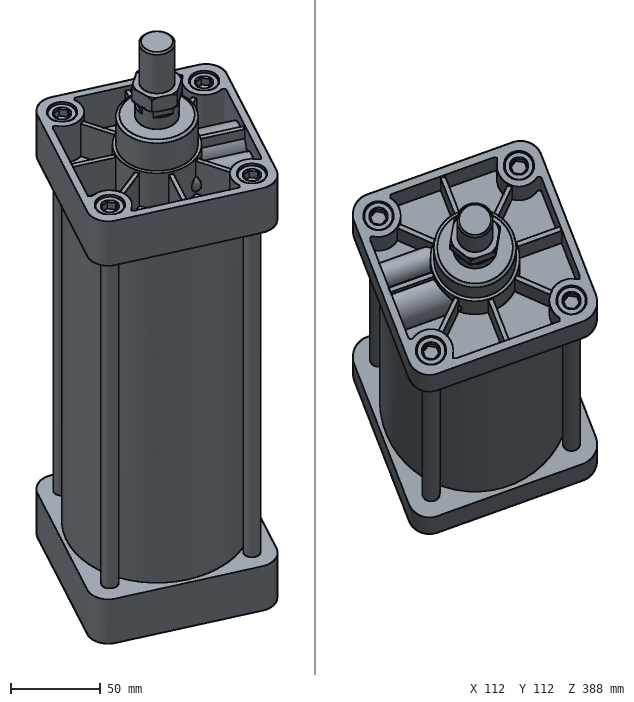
import cadquery as cq
import math

total_height = 388.0
cap_height = 33.0
front_cap_bottom = 280.0
front_cap_top = front_cap_bottom + cap_height
collar_top = 333.5
nut_top = 358.0
nut_bottom = 347.5
wrench_flat_bottom = 342.2

cap_width = 112.0
cap_corner_radius = 12.5
cap_wall = 4.5

barrel_diameter = 107.0
tie_rod_diameter = 10.0
tie_rod_spacing = 84.2
tie_rod_offset = tie_rod_spacing / 2

pocket_depth = 27.0
pocket_fillet = 1.5
screw_boss_diameter = 25.0
hub_diameter = 50.0
hub_recess = 1.0
rib_thickness = 2.7
rib_recess = 3.0

collar_diameter = 46.0
collar_chamfer_height = 1.0
collar_chamfer_width = 2.0

port_boss_diameter = 25.5
port_boss_x = -7.0
cushion_boss_diameter = 16.0
cushion_boss_x = 13.0
side_boss_rise = 7.5

counterbore_diameter = 17.0
counterbore_depth = 7.8
screw_head_diameter = 16.0
screw_head_recess = 1.0
socket_flats = 8.5
socket_depth = 6.0
socket_chamfer_diameter = 10.5

rod_diameter = 25.0
wrench_flats = 21.7
thread_diameter = 20.0
thread_chamfer = 1.0
nut_flats = 26.0
nut_chamfer_diameter = 27.5
nut_chamfer_height = 1.0

hexagon_corner_ratio = 2 / math.sqrt(3)

corner_points = [(sx * tie_rod_offset, sy * tie_rod_offset) for sx in (-1, 1) for sy in (-1, 1)]


def cylinder(diameter, bottom, top):
    """Upright cylinder on the Z axis between two heights."""
    return cq.Workplane("XY").workplane(offset=bottom).circle(diameter / 2).extrude(top - bottom)


def corner_cylinders(diameter, bottom, top):
    """Four upright cylinders, one on each tie rod axis."""
    base = cq.Workplane("XY").workplane(offset=bottom)
    return base.pushPoints(corner_points).circle(diameter / 2).extrude(top - bottom)


def end_cap(bottom):
    """Square block with rounded upright corners."""
    cap = cq.Workplane("XY").workplane(offset=bottom).rect(cap_width, cap_width).extrude(cap_height)
    return cap.edges("|Z").fillet(cap_corner_radius)


def pocket(floor):
    """Hollow of the front cap: a square well narrowed by the corner screw bosses."""
    well_width = cap_width - 2 * cap_wall
    well = cq.Workplane("XY").workplane(offset=floor).rect(well_width, well_width)
    well = well.extrude(front_cap_top - floor)
    well = well.cut(corner_blocks(floor))
    well = well.cut(corner_cylinders(screw_boss_diameter, floor, front_cap_top))
    return well.edges("|Z").fillet(pocket_fillet)


def corner_blocks(floor):
    """Solid fill between each screw boss and the outer corner of the cap."""
    block_width = cap_width / 2 - tie_rod_offset
    block_center = tie_rod_offset + block_width / 2
    points = [(sx * block_center, sy * block_center) for sx in (-1, 1) for sy in (-1, 1)]
    base = cq.Workplane("XY").workplane(offset=floor).pushPoints(points)
    return base.rect(block_width, block_width).extrude(front_cap_top - floor)


def ribs(floor):
    """Eight radial ribs between the hub and the walls."""
    height = front_cap_top - rib_recess - floor
    middle = floor + height / 2
    diagonal_length = 2 * math.sqrt(2) * tie_rod_offset
    web = cq.Workplane("XY").box(cap_width, rib_thickness, height)
    diagonal_web = cq.Workplane("XY").box(diagonal_length, rib_thickness, height)
    star = web.union(web.rotate((0, 0, 0), (0, 0, 1), 90))
    for angle in (45, 135):
        star = star.union(diagonal_web.rotate((0, 0, 0), (0, 0, 1), angle))
    return star.translate((0, 0, middle))


def side_boss(diameter, x, z):
    """Horizontal boss from the hub axis to the +Y wall."""
    base = cq.Workplane("XZ").center(x, z).circle(diameter / 2)
    return base.extrude(-(cap_width / 2 - cap_wall))


def screw_socket(head_top):
    """Hexagonal socket with a conical lead-in, on the Z axis."""
    hexagon = cq.Workplane("XY").workplane(offset=head_top - socket_depth)
    hexagon = hexagon.polygon(6, socket_flats * hexagon_corner_ratio).extrude(socket_depth)
    radius = socket_chamfer_diameter / 2
    lead_in = cq.Solid.makeCone(0, radius, radius, pnt=cq.Vector(0, 0, head_top - radius))
    return hexagon.union(cq.Workplane(lead_in))


def corner_screw_cut():
    """Annular gap around one screw head plus the socket in the head."""
    floor = front_cap_top - counterbore_depth
    head_top = front_cap_top - screw_head_recess
    gap = cylinder(counterbore_diameter, floor, front_cap_top)
    gap = gap.cut(cylinder(screw_head_diameter, floor, head_top))
    return gap.union(screw_socket(head_top))


def front_cap():
    """Ribbed cap with hub, guide collar, side bosses and corner screws."""
    floor = front_cap_top - pocket_depth
    side_boss_z = floor + side_boss_rise
    well = pocket(floor)
    inside = ribs(floor)
    inside = inside.union(side_boss(port_boss_diameter, port_boss_x, side_boss_z))
    inside = inside.union(side_boss(cushion_boss_diameter, cushion_boss_x, side_boss_z))
    cap = end_cap(front_cap_bottom).cut(well).union(inside.intersect(well))
    cap = cap.union(cylinder(hub_diameter, floor, front_cap_top - hub_recess))
    collar = cylinder(collar_diameter, floor, collar_top)
    collar = collar.faces(">Z").chamfer(collar_chamfer_height, collar_chamfer_width)
    cap = cap.union(collar)
    for x, y in corner_points:
        cap = cap.cut(corner_screw_cut().translate((x, y, 0)))
    return cap


def make_housing():
    """Both caps, the barrel and the tie rods, with a bore for the piston rod."""
    housing = end_cap(0).union(cylinder(barrel_diameter, cap_height, front_cap_bottom))
    housing = housing.union(corner_cylinders(tie_rod_diameter, cap_height, front_cap_bottom))
    housing = housing.union(front_cap())
    return housing.cut(cylinder(rod_diameter, front_cap_bottom, collar_top))


def lock_nut():
    """Hexagonal nut with conical chamfers at both ends and two flats facing X."""
    height = nut_top - nut_bottom
    corner_diameter = nut_flats * hexagon_corner_ratio
    nut = cq.Workplane("XY").workplane(offset=nut_bottom).polygon(6, corner_diameter).extrude(height)
    nut = nut.rotate((0, 0, 0), (0, 0, 1), 30)
    chamfer_width = (corner_diameter - nut_chamfer_diameter) / 2
    envelope = cylinder(corner_diameter, nut_bottom, nut_top)
    envelope = envelope.faces("<Z or >Z").chamfer(nut_chamfer_height, chamfer_width)
    return nut.intersect(envelope)


def make_piston_rod():
    """Rod with four wrench flats, a threaded end and its lock nut."""
    rod = cylinder(rod_diameter, front_cap_bottom, wrench_flat_bottom)
    flat_height = nut_bottom - wrench_flat_bottom
    square = cq.Workplane("XY").workplane(offset=wrench_flat_bottom)
    square = square.rect(wrench_flats, wrench_flats).extrude(flat_height)
    rod = rod.union(cylinder(rod_diameter, wrench_flat_bottom, nut_bottom).intersect(square))
    thread = cylinder(thread_diameter, nut_bottom, total_height).faces(">Z").chamfer(thread_chamfer)
    return rod.union(lock_nut()).union(thread)


housing = make_housing()
piston_rod = make_piston_rod()

result = cq.Compound.makeCompound([housing.val(), piston_rod.val()])